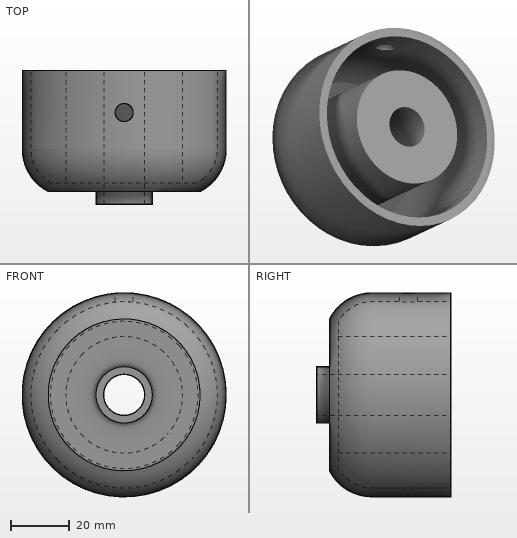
import cadquery as cq
import math

body_radius = 35.0
body_length = 41.6
straight_length = 27.0
face_radius = 26.05
wall = 3.0

core_radius = 20.0
bore_radius = 7.0
boss_radius = 9.65
boss_height = 4.4

side_hole_radius = 3.1
side_hole_from_rim = 14.5

shoulder_length = body_length - straight_length
shoulder_inset = body_radius - face_radius
shoulder_radius = (shoulder_length**2 + shoulder_inset**2) / (2 * shoulder_inset)

shoulder_y = -straight_length
face_y = -body_length


def shoulder_point(arc_radius, y):
    """Point at position y on an arc concentric with the shoulder."""
    rise = math.sqrt(arc_radius**2 - (y - shoulder_y) ** 2)
    return (body_radius - shoulder_radius + rise, y)


def turned_body(outer_radius, arc_radius, end_y):
    """Solid of revolution: straight wall, shoulder arc, flat end."""
    arc_end = shoulder_point(arc_radius, end_y)
    arc_middle = shoulder_point(arc_radius, (shoulder_y + end_y) / 2)
    return (
        cq.Workplane("XY")
        .moveTo(0, 0)
        .lineTo(outer_radius, 0)
        .lineTo(outer_radius, shoulder_y)
        .threePointArc(arc_middle, arc_end)
        .lineTo(0, end_y)
        .close()
        .revolve(360, (0, 0, 0), (0, 1, 0))
    )


def cylinder_along_y(radius, length):
    """Cylinder on the Y axis running from the rim plane towards -Y."""
    return cq.Workplane("XZ").circle(radius).extrude(length)


outside = turned_body(body_radius, shoulder_radius, face_y)
cavity = turned_body(body_radius - wall, shoulder_radius - wall, face_y + wall)
shell = outside.cut(cavity)

core = cylinder_along_y(core_radius, body_length)
boss = cylinder_along_y(boss_radius, body_length + boss_height)
bore = cylinder_along_y(bore_radius, body_length + boss_height)

hole_start_z = (core_radius + body_radius - wall) / 2
side_hole = (
    cq.Workplane("XY", origin=(0, -side_hole_from_rim, hole_start_z))
    .circle(side_hole_radius)
    .extrude(body_radius - hole_start_z)
)

result = shell.union(core).union(boss).cut(bore).cut(side_hole)